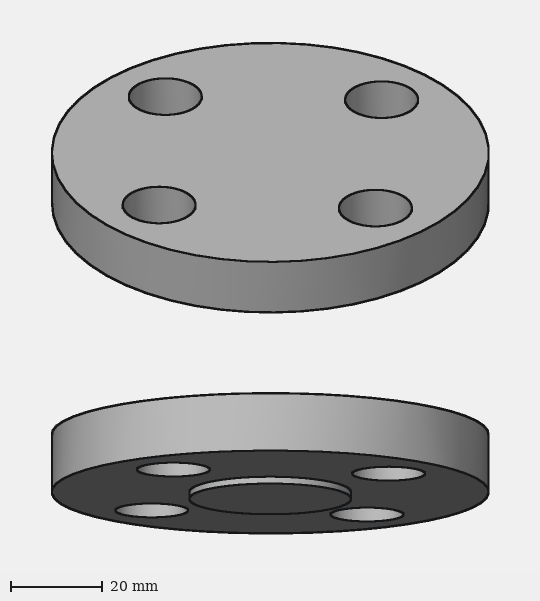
import cadquery as cq

flange_diameter = 95.2
total_height = 14.3
raised_face_height = 1.5
raised_face_diameter = 35.2
flange_thickness = total_height - raised_face_height

bolt_hole_count = 4
bolt_hole_diameter = 15.9
bolt_circle_diameter = 66.7


def make_raised_face():
    """Low round pad standing on Z = 0."""
    return cq.Workplane("XY").circle(raised_face_diameter / 2).extrude(raised_face_height)


def make_disc():
    """Round flange plate resting on top of the raised face."""
    return (
        cq.Workplane("XY")
        .workplane(offset=raised_face_height)
        .circle(flange_diameter / 2)
        .extrude(flange_thickness)
    )


def make_bolt_holes():
    """Cylinders on the X and Y axes that pass through the whole flange."""
    return (
        cq.Workplane("XY")
        .polarArray(bolt_circle_diameter / 2, 0, 360, bolt_hole_count)
        .circle(bolt_hole_diameter / 2)
        .extrude(total_height)
    )


result = make_disc().union(make_raised_face()).cut(make_bolt_holes())